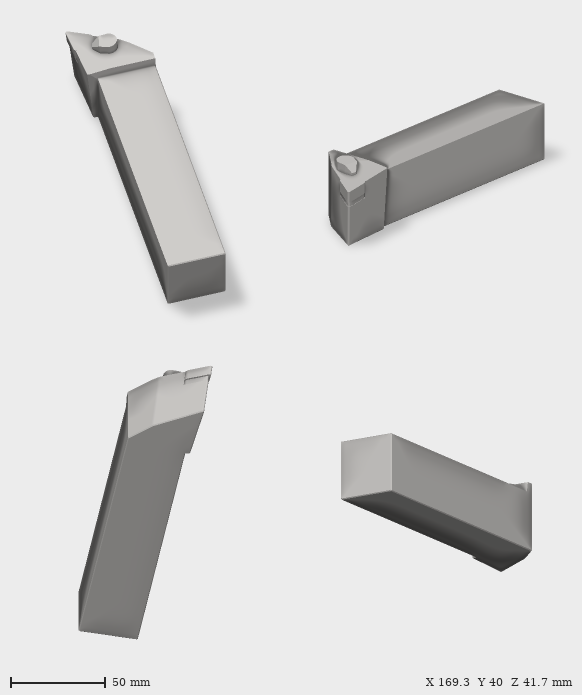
import cadquery as cq
import math

LENGTH = 169.3
SHANK_SIZE = 32.0
SHANK_START = 34.2
EDGE_CHAMFER = 0.5

HEAD_HEIGHT = 37.0
HEAD_END = 35.7
HEAD_FOOT_RADIUS = 0.7
HEAD_BLEND_SLOPE = 0.2
HEAD_BACK_START = 30.5
FLANK_BLEND_RADIUS = 6.0
RAKE_RIDGE = 9.5
RAKE_SLOPE = 0.09

LEAD_ANGLE = 3.0
POINT_ANGLE = 55.0
INSCRIBED_CIRCLE = 12.7
INSERT_THICKNESS = 6.5
NOSE_RADIUS = 0.8
SIDE_CORNER_RADIUS = 3.2
INSERT_OVERHANG = 0.7
SHIM_INSET = 0.8
SHIM_THICKNESS = 3.4
NOSE_Y = -40.0

CLAMP_RADIUS = 4.9
CLAMP_CENTRE = (19.1, -21.3)
CLAMP_TURN = -14.0
CLAMP_HEIGHT = 5.2
CLAMP_SHOULDER = 4.7
CLAMP_TIP = 8.8
CLAMP_TIP_LEFT = -2.2
CLAMP_TIP_RIGHT = 0.5
CLAMP_TIP_HEIGHT = 1.7
CLAMP_NARROWING = 0.8

POINT_SINE = math.sin(math.radians(POINT_ANGLE))
HALF_POINT_SINE = math.sin(math.radians(POINT_ANGLE / 2))
BISECTOR_ANGLE = LEAD_ANGLE + POINT_ANGLE / 2
SIDE_LENGTH = INSCRIBED_CIRCLE / POINT_SINE


def polar(length, angle):
    """Return the 2D vector of a given length and angle in degrees."""
    return (length * math.cos(math.radians(angle)), length * math.sin(math.radians(angle)))


def add(*vectors):
    """Return the sum of 2D vectors."""
    return tuple(map(sum, zip(*vectors)))


nose_centre = polar(NOSE_RADIUS / HALF_POINT_SINE, BISECTOR_ANGLE)
POINT_X = NOSE_RADIUS - nose_centre[0]
POINT_Y = NOSE_Y + NOSE_RADIUS - nose_centre[1]


def rake_plane(x, y, depth=0.0):
    """Workplane parallel to the sloping head top, at a depth below it along its normal."""
    z = HEAD_HEIGHT + RAKE_SLOPE * (x + y - RAKE_RIDGE)
    normal = cq.Vector(-RAKE_SLOPE, -RAKE_SLOPE, 1).normalized()
    origin = cq.Vector(x, y, z) - normal * depth
    return cq.Workplane(cq.Plane(origin, (1, 0, RAKE_SLOPE), normal))


def rhombus(depth, thickness, inset=0.0):
    """Sharp rhombic plate whose outer two sides are moved in by inset."""
    start = polar(inset / HALF_POINT_SINE, BISECTOR_ANGLE)
    side = SIDE_LENGTH - inset / POINT_SINE
    along = polar(side, LEAD_ANGLE)
    across = polar(side, LEAD_ANGLE + POINT_ANGLE)
    corners = [start, add(start, along), add(start, along, across), add(start, across)]
    return rake_plane(POINT_X, POINT_Y, depth).polyline(corners).close().extrude(-thickness)


def rounded_rhombus(depth, thickness, inset=0.0):
    """Rhombic plate with a small nose radius and larger radii at the obtuse corners."""
    plate = rhombus(depth, thickness, inset)
    normal = rake_plane(POINT_X, POINT_Y).plane.zDir
    upright = cq.selectors.ParallelDirSelector(normal)
    along = plate.edges(upright)
    side_corners = along.sort(lambda edge: edge.Center().x)[1:3]
    plate = side_corners.fillet(SIDE_CORNER_RADIUS)
    return plate.edges(upright).edges("<X").fillet(NOSE_RADIUS)


def make_insert():
    return rounded_rhombus(0, INSERT_THICKNESS)


def make_shank():
    shank = cq.Workplane().box(LENGTH - SHANK_START, SHANK_SIZE, SHANK_SIZE, centered=False)
    shank = shank.translate((SHANK_START, -SHANK_SIZE, 0))
    shank = shank.edges("|X").edges("<Z or >Y").chamfer(EDGE_CHAMFER)
    return shank.faces(">X").chamfer(EDGE_CHAMFER)


def make_head():
    """Head whose walls follow the rake plane's normal, with a flat base, back and rear top."""
    reach = 2 * SHANK_SIZE
    side_angle = LEAD_ANGLE + POINT_ANGLE
    start = polar(INSERT_OVERHANG / HALF_POINT_SINE, BISECTOR_ANGLE)
    flank_offset = POINT_X - HEAD_BACK_START - POINT_Y
    gap = flank_offset + start[0] - start[1]
    rise = math.sin(math.radians(side_angle)) - math.cos(math.radians(side_angle))
    flank_corner = add(start, polar(gap / rise, side_angle))
    flank_end = add(flank_corner, (reach, reach))
    front_end = add(start, polar(reach, LEAD_ANGLE))
    outline = [start, front_end, flank_end, flank_corner]
    head = rake_plane(POINT_X, POINT_Y).polyline(outline).close().extrude(-reach)
    upright = cq.selectors.ParallelDirSelector(rake_plane(POINT_X, POINT_Y).plane.zDir)
    walls = head.edges(upright).sort(lambda edge: edge.Center().x)
    head = walls[1].fillet(FLANK_BLEND_RADIUS)
    head = head.edges(upright).edges("<X").fillet(NOSE_RADIUS)

    envelope = cq.Workplane().box(HEAD_END, reach, HEAD_HEIGHT, centered=False).translate((0, -reach, 0))
    head = head.intersect(envelope)

    run = reach * HEAD_BLEND_SLOPE
    wedge = [(SHANK_START, 0), (SHANK_START + run, -reach), (SHANK_START + run, 0)]
    top_wedge = cq.Workplane("XZ").polyline(wedge).close().extrude(reach)
    top_wedge = top_wedge.translate((0, 0, HEAD_HEIGHT))
    front_y = POINT_Y + start[1] + (SHANK_START - POINT_X - start[0]) * math.tan(math.radians(LEAD_ANGLE))
    front_wedge = cq.Workplane("XY").polyline([(x, -y) for x, y in wedge]).close().extrude(reach)
    front_wedge = front_wedge.translate((0, front_y, 0))
    head = head.cut(top_wedge).cut(front_wedge)
    return head.faces("<Z").edges("<Y or >Y").chamfer(EDGE_CHAMFER)


def make_clamp():
    """Round-ended clamp with a narrowing, sloping front that bears on the insert."""
    base = rake_plane(*CLAMP_CENTRE).transformed(rotate=(0, 0, CLAMP_TURN))
    body = (
        base.moveTo(CLAMP_RADIUS, 0)
        .threePointArc((0, CLAMP_RADIUS), (-CLAMP_RADIUS, 0))
        .lineTo(-CLAMP_RADIUS * CLAMP_NARROWING, -CLAMP_SHOULDER)
        .lineTo(CLAMP_TIP_LEFT, -CLAMP_TIP)
        .lineTo(CLAMP_TIP_RIGHT, -CLAMP_TIP)
        .lineTo(CLAMP_RADIUS * CLAMP_NARROWING, -CLAMP_SHOULDER)
        .close()
        .extrude(CLAMP_HEIGHT)
    )
    side = base.transformed(rotate=(0, 90, 0))
    slope = (
        side.moveTo(-CLAMP_HEIGHT, -CLAMP_SHOULDER)
        .lineTo(-CLAMP_TIP_HEIGHT, -CLAMP_TIP)
        .lineTo(-CLAMP_HEIGHT, -CLAMP_TIP)
        .close()
        .extrude(CLAMP_RADIUS, both=True)
    )
    return body.cut(slope)


def make_holder():
    pocket = rhombus(0, INSERT_THICKNESS + SHIM_THICKNESS)
    shim = rounded_rhombus(INSERT_THICKNESS, SHIM_THICKNESS, SHIM_INSET)
    body = make_head().union(make_shank())
    foot_top = cq.selectors.BoxSelector(
        (SHANK_START, -SHANK_SIZE, SHANK_SIZE - EDGE_CHAMFER),
        (HEAD_END, -EDGE_CHAMFER, SHANK_SIZE + EDGE_CHAMFER),
    )
    foot_front = cq.selectors.BoxSelector(
        (SHANK_START, -SHANK_SIZE - EDGE_CHAMFER, EDGE_CHAMFER),
        (HEAD_END, -SHANK_SIZE + EDGE_CHAMFER, SHANK_SIZE - EDGE_CHAMFER),
    )
    body = body.edges("#X").edges(foot_top + foot_front).fillet(HEAD_FOOT_RADIUS)
    return body.cut(pocket).union(shim).union(make_clamp())


insert = make_insert()
holder = make_holder().cut(insert)
result = cq.Compound.makeCompound([holder.solids().val(), insert.solids().val()])